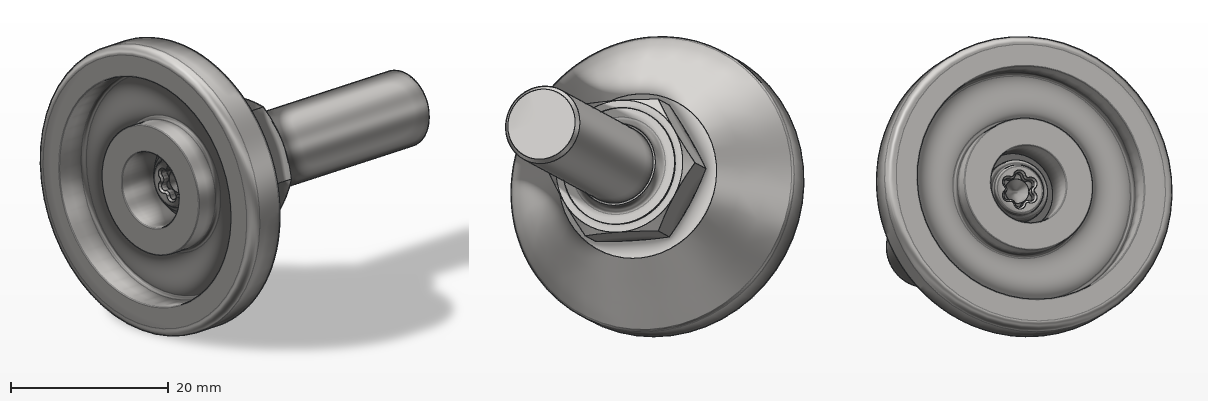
import cadquery as cq
import math


foot_radius = 19.0
foot_height = 10.5
rim_height = 5.0
top_radius = 10.6
underside_fillet = 1.2
edge_fillet = 0.48
lip_fillet = 0.1
recess_radius = 15.0
recess_depth = 4.5
boss_radius = 8.5
boss_setback = 1.0
bore_radius = 5.0
bore_depth = 7.0

neck_radius = 2.0
head_radius = 4.0
head_thickness = 1.45
button_radius = 3.25
button_height = 0.6
button_fillet = 0.3
button_root_fillet = 0.25
head_face = bore_depth - head_thickness
button_face = head_face - button_height

lobe_count = 6
lobe_tip = 2.25
lobe_radius = 0.5
valley_floor = 1.6
socket_depth = 1.25
socket_chamfer = 0.3
drill_radius = 1.55
drill_depth = 0.9

hex_gap = 1.0
hex_across_flats = 17.0
hex_height = 6.05
hex_chamfer_height = 0.9
hex_sides = 6
hex_across_corners = hex_across_flats / math.cos(math.pi / hex_sides)
washer_radius = 7.5
washer_height = 0.3
collar_radius = 5.25
collar_height = 1.0
shaft_radius = 5.0
shaft_chamfer = 0.48
shaft_end = 47.5
hex_bottom = foot_height + hex_gap
hex_top = hex_bottom + hex_height
washer_top = hex_top + washer_height
collar_top = washer_top + collar_height

match_tolerance = 0.005


def turned(profile):
    """Revolve a closed (y, radius) profile about the Y axis."""
    return profile.close().revolve(360, (0, 0, 0), (1, 0, 0))


def cylinder(radius, start, end):
    """Cylinder on the Y axis between two heights."""
    return cq.Workplane("XZ", origin=(0, start, 0)).circle(radius).extrude(start - end)


def circle_edges(body, radius, height):
    """Circular edges of a body with the given radius at the given height."""
    edges = [
        edge for edge in body.edges("%CIRCLE").vals()
        if abs(edge.radius() - radius) < match_tolerance
        and abs(edge.Center().y - height) < match_tolerance
    ]
    return body.newObject(edges)


def make_foot():
    """Dished foot with a central boss, a blind bore and a through hole for the neck."""
    outline = (
        cq.Workplane("YZ")
        .moveTo(0, recess_radius)
        .lineTo(0, foot_radius)
        .lineTo(rim_height, foot_radius)
        .lineTo(foot_height, top_radius)
        .lineTo(foot_height, neck_radius)
        .lineTo(bore_depth, neck_radius)
        .lineTo(bore_depth, bore_radius)
        .lineTo(boss_setback, bore_radius)
        .lineTo(boss_setback, boss_radius)
        .lineTo(recess_depth, boss_radius)
        .lineTo(recess_depth, recess_radius)
    )
    foot = turned(outline)
    foot = circle_edges(foot, foot_radius, 0).fillet(underside_fillet)
    foot = circle_edges(foot, foot_radius, rim_height).fillet(edge_fillet)
    foot = circle_edges(foot, boss_radius, recess_depth).fillet(edge_fillet)
    foot = circle_edges(foot, recess_radius, recess_depth).fillet(edge_fillet)
    foot = circle_edges(foot, recess_radius, 0).fillet(lip_fillet)
    foot = circle_edges(foot, boss_radius, boss_setback).fillet(lip_fillet)
    return circle_edges(foot, bore_radius, boss_setback).fillet(lip_fillet)


def make_head():
    """Rounded flange with a raised button, sitting on the bore floor."""
    outline = (
        cq.Workplane("YZ")
        .moveTo(bore_depth, 0)
        .lineTo(bore_depth, head_radius)
        .lineTo(head_face, head_radius)
        .lineTo(head_face, button_radius)
        .lineTo(button_face, button_radius)
        .lineTo(button_face, 0)
    )
    head = turned(outline)
    head = circle_edges(head, head_radius, head_face).fillet(edge_fillet)
    head = circle_edges(head, button_radius, head_face).fillet(button_root_fillet)
    return circle_edges(head, button_radius, button_face).fillet(button_fillet)


def polar(radius, degrees):
    """Point at a radius and an angle from the tip of the first lobe."""
    angle = math.radians(degrees)
    return (radius * math.sin(angle), radius * math.cos(angle))


def lobed_prism(start, end):
    """Six-lobed prism between two heights: round lobes joined by tangent valley arcs."""
    half_pitch = 180 / lobe_count
    lobe_distance = lobe_tip - lobe_radius
    half_spacing = lobe_distance * math.sin(math.radians(half_pitch))
    chord_distance = lobe_distance * math.cos(math.radians(half_pitch))
    rise = valley_floor - chord_distance
    valley_radius = (rise ** 2 + half_spacing ** 2 - lobe_radius ** 2) / (2 * (lobe_radius - rise))
    share = lobe_radius / (lobe_radius + valley_radius)
    valley_x, valley_z = polar(valley_floor + valley_radius, half_pitch)
    tangent_x = valley_x * share
    tangent_z = lobe_distance + (valley_z - lobe_distance) * share
    tangent_radius = math.hypot(tangent_x, tangent_z)
    tangent_angle = math.degrees(math.atan2(tangent_x, tangent_z))

    outline = cq.Workplane("XZ", origin=(0, start, 0)).moveTo(*polar(tangent_radius, -tangent_angle))
    for index in range(lobe_count):
        tip = index * 2 * half_pitch
        valley = tip + half_pitch
        next_tip = valley + half_pitch
        outline = (
            outline
            .threePointArc(polar(lobe_tip, tip), polar(tangent_radius, tip + tangent_angle))
            .threePointArc(polar(valley_floor, valley), polar(tangent_radius, next_tip - tangent_angle))
        )
    return outline.close().extrude(start - end)


def cut_socket(stud):
    """Six-lobed socket with a drill point in its floor and a chamfered mouth."""
    floor = button_face + socket_depth
    drill_point = turned(
        cq.Workplane("YZ").moveTo(floor, 0).lineTo(floor, drill_radius).lineTo(floor + drill_depth, 0)
    )
    stud = stud.cut(lobed_prism(button_face, floor)).cut(drill_point)
    mouth = stud.faces("<Y").val().innerWires()[0]
    return stud.newObject(mouth.Edges()).chamfer(socket_chamfer)


def make_hexagon():
    """Hexagon with flats facing +Z and -Z and both ends chamfered by a cone."""
    base = cq.Workplane("XZ", origin=(0, hex_bottom, 0)).polygon(hex_sides, hex_across_corners)
    prism = base.extrude(-hex_height)
    envelope = turned(
        cq.Workplane("YZ")
        .moveTo(hex_bottom, 0)
        .lineTo(hex_bottom, hex_across_flats / 2)
        .lineTo(hex_bottom + hex_chamfer_height, hex_across_corners / 2)
        .lineTo(hex_top - hex_chamfer_height, hex_across_corners / 2)
        .lineTo(hex_top, hex_across_flats / 2)
        .lineTo(hex_top, 0)
    )
    return prism.intersect(envelope)


def make_shank():
    """Washer face, flared collar and chamfered shaft above the hexagon."""
    flare = collar_height * (1 - math.sqrt(0.5))
    outline = (
        cq.Workplane("YZ")
        .moveTo(hex_top, 0)
        .lineTo(hex_top, washer_radius)
        .lineTo(washer_top, washer_radius)
        .lineTo(washer_top, collar_radius + collar_height)
        .threePointArc((washer_top + flare, collar_radius + flare), (collar_top, collar_radius))
        .lineTo(collar_top, shaft_radius)
        .lineTo(shaft_end - shaft_chamfer, shaft_radius)
        .lineTo(shaft_end, shaft_radius - shaft_chamfer)
        .lineTo(shaft_end, 0)
    )
    return turned(outline)


def make_stud():
    """Head, neck, hexagon and shank joined into one solid, with the socket cut in."""
    neck = cylinder(neck_radius, bore_depth, hex_bottom)
    stud = make_head().union(neck).union(make_hexagon()).union(make_shank())
    return cut_socket(stud)


foot = make_foot()
stud = make_stud()

result = cq.Compound.makeCompound([foot.val(), stud.val()])